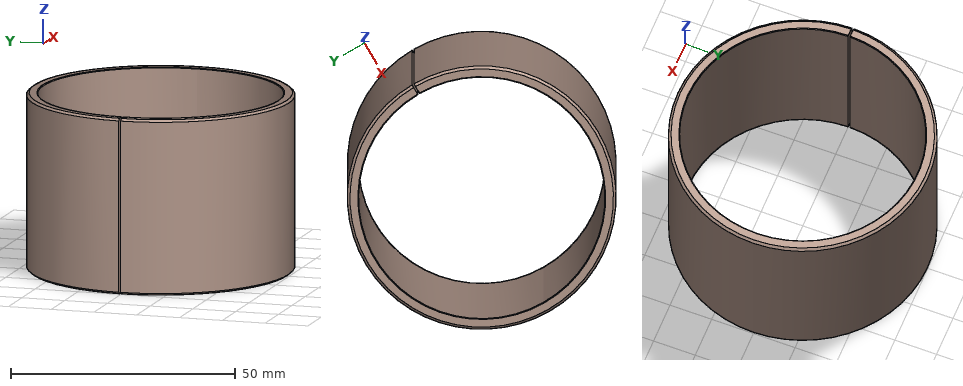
import cadquery as cq

outer_diameter = 60.0
wall = 2.5
length = 40.0
outer_chamfer_width = 0.6
outer_chamfer_height = 0.5
inner_chamfer = 0.2
slit_width = 0.5

outer_radius = outer_diameter / 2
inner_radius = outer_radius - wall
half_length = length / 2

wall_section = [
    (inner_radius + inner_chamfer, -half_length),
    (outer_radius - outer_chamfer_width, -half_length),
    (outer_radius, -half_length + outer_chamfer_height),
    (outer_radius, half_length - outer_chamfer_height),
    (outer_radius - outer_chamfer_width, half_length),
    (inner_radius + inner_chamfer, half_length),
    (inner_radius, half_length - inner_chamfer),
    (inner_radius, -half_length + inner_chamfer),
]
sleeve = cq.Workplane("XZ").polyline(wall_section).close().revolve(360, (0, 0, 0), (0, 1, 0))

slit = cq.Workplane("XY").box(outer_radius, slit_width, length).translate((-outer_radius, slit_width / 2, 0))

result = sleeve.cut(slit)